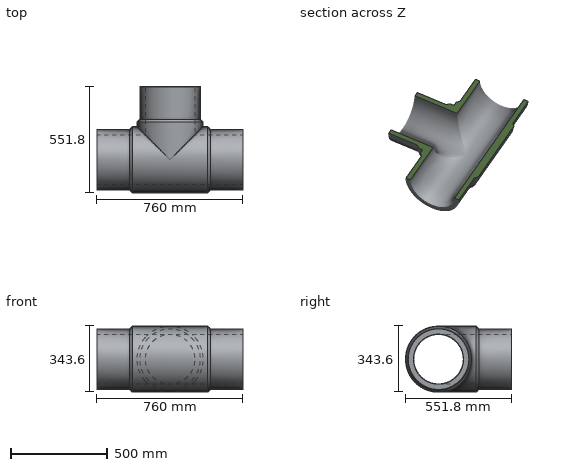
import cadquery as cq

pipe_diameter = 315.0
wall = 28.6
end_reach = 380.0
spigot_length = 170.0

spigot_radius = pipe_diameter / 2
bore_radius = spigot_radius - wall
shoulder = wall / 2
body_radius = spigot_radius + shoulder
body_reach = end_reach - spigot_length

arm_directions = [(1, 0, 0), (-1, 0, 0), (0, 1, 0)]


def cylinder(direction, radius, length):
    """Round bar from the tee centre along one arm direction."""
    plane = cq.Plane(origin=(0, 0, 0), xDir=(0, 0, 1), normal=direction)
    return cq.Workplane(plane).circle(radius).extrude(length)


def outer_arm(direction):
    """Thick body with a bevelled shoulder, continued by a plain spigot."""
    body = cylinder(direction, body_radius, body_reach)
    end_face = cq.selectors.DirectionMinMaxSelector(cq.Vector(direction))
    bevelled_body = body.faces(end_face).chamfer(shoulder)
    return bevelled_body.union(cylinder(direction, spigot_radius, end_reach))


outside = cq.Workplane("XY")
bores = cq.Workplane("XY")
for arm_direction in arm_directions:
    outside = outside.add(outer_arm(arm_direction))
    bores = bores.add(cylinder(arm_direction, bore_radius, end_reach))

result = outside.combine().cut(bores.combine()).clean()